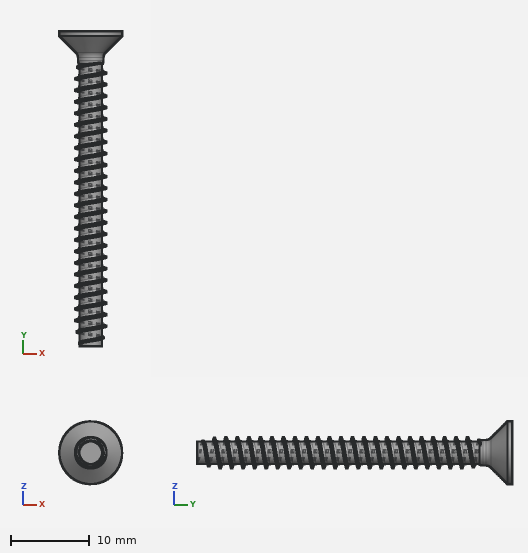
import cadquery as cq
import math


length = 40.0
head_diameter = 8.0
thread_diameter = 4.0
root_diameter = 2.9
neck_diameter = 3.3
neck_end_diameter = 3.1

head_half_angle = 45.0
neck_fillet = 0.9

rim_end = 0.65
neck_end = 3.75
neck_taper_end = 4.15

full_turns = 22
run_in_turns = 1.3
run_out_turns = 1.75
highest_full_depth = 5.3
lowest_full_depth = 37.45
pitch = (lowest_full_depth - highest_full_depth) / full_turns
crest_width = 0.1
head_flank = 0.15
tip_flank = 0.1
shoulder_width = 0.7
shoulder_height = 0.1
ridge_overlap = 0.1

head_radius = head_diameter / 2
thread_radius = thread_diameter / 2
root_radius = root_diameter / 2
neck_radius = neck_diameter / 2
base_radius = root_radius - ridge_overlap


def revolve_about_y(outline):
    """Turn a closed half outline, drawn in XY, around the screw axis."""
    return outline.close().revolve(360, (0, 0, 0), (0, 1, 0))


def make_body():
    """Head, filleted neck and threadless shank."""
    angle = math.radians(head_half_angle)
    fillet_center_x = neck_radius + neck_fillet
    cone_end_x = fillet_center_x - neck_fillet * math.cos(angle)
    cone_end_y = -rim_end - (head_radius - cone_end_x) / math.tan(angle)
    fillet_center_y = cone_end_y - neck_fillet * math.sin(angle)
    fillet_middle = (
        fillet_center_x - neck_fillet * math.cos(angle / 2),
        fillet_center_y + neck_fillet * math.sin(angle / 2),
    )
    outline = (
        cq.Workplane("XY")
        .lineTo(head_radius, 0)
        .lineTo(head_radius, -rim_end)
        .lineTo(cone_end_x, cone_end_y)
        .threePointArc(fillet_middle, (neck_radius, fillet_center_y))
        .lineTo(neck_radius, -neck_end)
        .lineTo(neck_end_diameter / 2, -neck_taper_end)
        .lineTo(root_radius, -neck_taper_end)
        .lineTo(root_radius, -length)
        .lineTo(0, -length)
    )
    return revolve_about_y(outline)


def make_helix(start_turn, end_turn, start_radius, end_radius, offset):
    """Right-handed helix around Y, shifted toward the head by offset from the crest line."""
    height = (end_turn - start_turn) * pitch
    if start_radius == end_radius:
        helix = cq.Wire.makeHelix(pitch, height, start_radius)
    else:
        cone_angle = math.atan2(end_radius - start_radius, height)
        slant = 1 / math.cos(cone_angle)
        helix = cq.Wire.makeHelix(
            pitch * slant, height * slant, start_radius, angle=math.degrees(cone_angle)
        )
    start_y = start_turn * pitch - lowest_full_depth + offset
    return (
        helix.rotate(cq.Vector(0, 0, 0), cq.Vector(1, 0, 0), -90)
        .rotate(cq.Vector(0, 0, 0), cq.Vector(0, 1, 0), 360 * start_turn)
        .translate(cq.Vector(0, start_y, 0))
    )


def make_ridge(start_turn, end_turn, start_height, end_height):
    """Stretch of thread with a low shoulder on the head side of its crest.

    The heights scale the ridge above its sunken base, 1 being the full thread.
    """
    crest_rise = thread_radius - base_radius
    shoulder_rise = shoulder_height + ridge_overlap
    head_edge = crest_width / 2
    shoulder_edge = head_edge + head_flank
    profile = [
        (0, shoulder_edge + shoulder_width),
        (shoulder_rise, shoulder_edge),
        (crest_rise, head_edge),
        (crest_rise, -head_edge),
        (0, -head_edge - tip_flank),
    ]
    helices = []
    for rise, offset in profile:
        start_radius = base_radius + rise * start_height
        end_radius = base_radius + rise * end_height
        helices.append(make_helix(start_turn, end_turn, start_radius, end_radius, offset))
    faces = []
    for index, helix in enumerate(helices):
        faces.append(cq.Face.makeRuledSurface(helices[index - 1], helix))
    for end in (0, 1):
        corners = [helix.positionAt(end) for helix in helices]
        faces.append(cq.Face.makeFromWires(cq.Wire.makePolygon(corners, close=True)))
    return cq.Solid.makeSolid(cq.Shell.makeShell(faces))


faded = ridge_overlap / 2 / (thread_radius - base_radius)
run_in_end = full_turns + run_in_turns
run_out = make_ridge(-run_out_turns, 0, faded, 1)
full_thread = make_ridge(0, full_turns, 1, 1)
run_in = make_ridge(full_turns, run_in_end, 1, faded)

screw = make_body()
for ridge in (run_out, full_thread, run_in):
    screw = screw.union(cq.Workplane(obj=ridge))

tip_waste = cq.Workplane("XZ", origin=(0, -length, 0)).circle(thread_radius).extrude(pitch)
result = screw.cut(tip_waste)